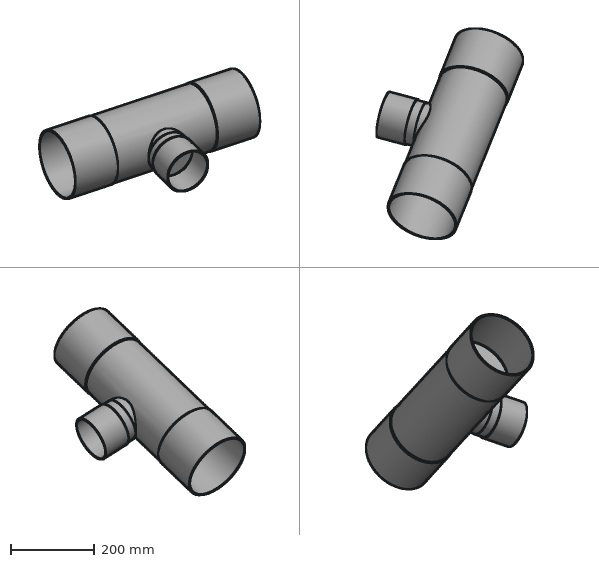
import cadquery as cq

total_length = 514.0
socket_diameter = 175.0
socket_bore = 168.0
socket_length = 119.0
body_diameter = 172.0
socket_step = (socket_diameter - body_diameter) / 2

saddle_diameter = 108.0
saddle_end = 88.5
neck_diameter = 110.0
neck_end = 111.0
branch_socket_diameter = 114.0
branch_socket_bore = 108.0
branch_end = 182.0


def cylinder_y(diameter, start, end):
    """Cylinder on the Y axis between two Y positions."""
    plane = cq.Plane(origin=(0, start, 0), xDir=(1, 0, 0), normal=(0, 1, 0))
    return cq.Workplane(plane).circle(diameter / 2).extrude(end - start)


def cylinder_x(diameter, start, end):
    """Cylinder on the X axis between two X positions."""
    return cq.Workplane("YZ", origin=(start, 0, 0)).circle(diameter / 2).extrude(end - start)


pipe_end = total_length / 2
socket_floor = pipe_end - socket_length
result = cylinder_y(body_diameter, -socket_floor, socket_floor)
result = result.union(cylinder_x(saddle_diameter, 0, saddle_end))
result = result.union(cylinder_x(neck_diameter, saddle_end, neck_end))
result = result.union(cylinder_x(branch_socket_diameter, neck_end, branch_end))

for side, body_edge in ((-1, ">Y"), (1, "<Y")):
    start, end = sorted((side * socket_floor, side * pipe_end))
    socket = cylinder_y(socket_diameter, start, end).faces(body_edge).chamfer(socket_step)
    result = result.union(socket).cut(cylinder_y(socket_bore, start, end))

result = result.cut(cylinder_x(branch_socket_bore, neck_end, branch_end))